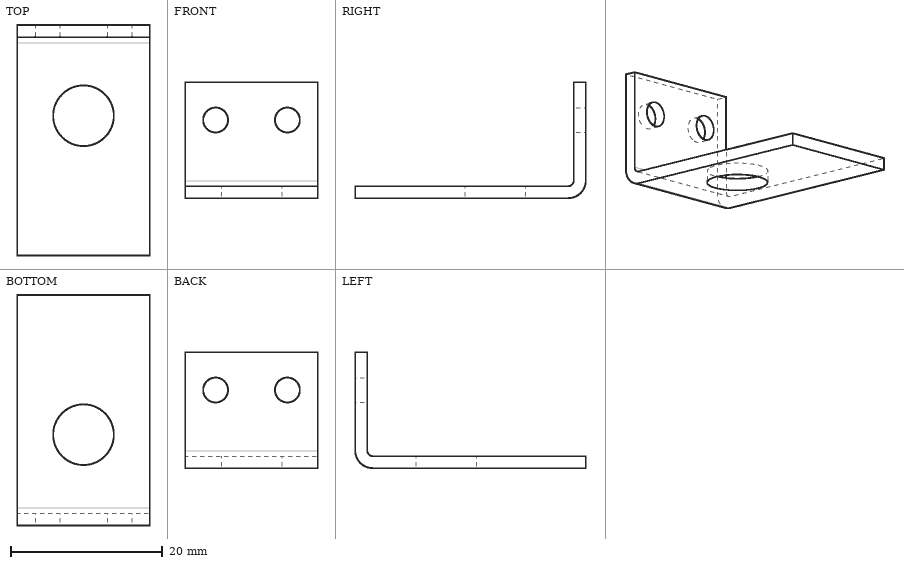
import cadquery as cq

width = 17.5
length = 30.48
height = 15.33

thickness = 1.62
inner_bend_radius = 0.73
outer_bend_radius = inner_bend_radius + thickness

base_hole_diameter = 8.0
base_hole_from_back = 12.0

flange_hole_diameter = 3.25
flange_hole_spacing = 9.48
flange_hole_from_top = 5.0

back_y = length / 2


def bent_sheet():
    """L-shaped sheet with its underside at Z = 0 and its flange at +Y."""
    base = cq.Workplane("XY").box(width, length, thickness, centered=(True, True, False))
    flange = (
        cq.Workplane("XY")
        .box(width, thickness, height, centered=(True, False, False))
        .translate((0, back_y - thickness, 0))
    )
    sheet = base.union(flange)
    inner_corner = cq.selectors.NearestToPointSelector((0, back_y - thickness, thickness))
    sheet = sheet.edges(inner_corner).fillet(inner_bend_radius)
    outer_corner = cq.selectors.NearestToPointSelector((0, back_y, 0))
    return sheet.edges(outer_corner).fillet(outer_bend_radius)


def base_hole():
    return (
        cq.Workplane("XY")
        .center(0, back_y - base_hole_from_back)
        .circle(base_hole_diameter / 2)
        .extrude(thickness)
    )


def flange_holes():
    half_spacing = flange_hole_spacing / 2
    hole_z = height - flange_hole_from_top
    return (
        cq.Workplane("XZ", origin=(0, back_y, 0))
        .pushPoints([(-half_spacing, hole_z), (half_spacing, hole_z)])
        .circle(flange_hole_diameter / 2)
        .extrude(thickness)
    )


result = bent_sheet().cut(base_hole()).cut(flange_holes())